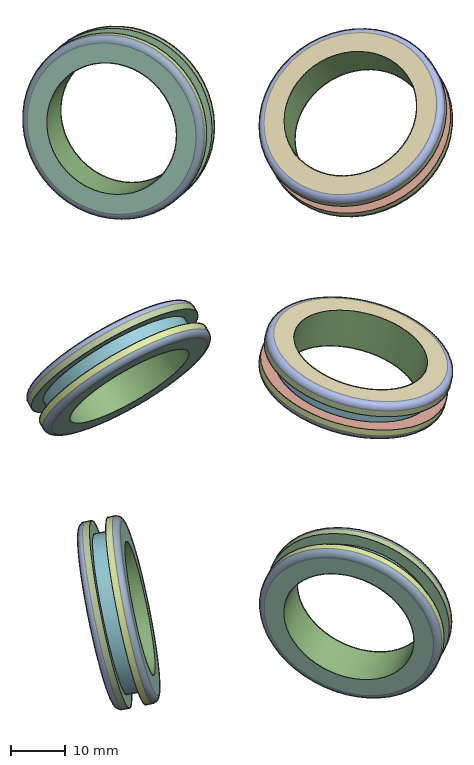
import cadquery as cq

outer_diameter = 35.0
bore_diameter = 25.0
groove_diameter = 30.0
ring_width = 8.0
groove_width = 3.0
rim_fillet = 1.22


def tube(outside_diameter, inside_diameter, width):
    """Tube along Y, centred on the origin."""
    profile = cq.Workplane("XZ", origin=(0, width / 2, 0))
    return profile.circle(outside_diameter / 2).circle(inside_diameter / 2).extrude(width)


ring = tube(outer_diameter, bore_diameter, ring_width)

outer_rims = cq.selectors.RadiusNthSelector(-1)
rounded_ring = ring.edges("%CIRCLE").edges(outer_rims).fillet(rim_fillet)

groove = tube(outer_diameter, groove_diameter, groove_width)

result = rounded_ring.cut(groove)